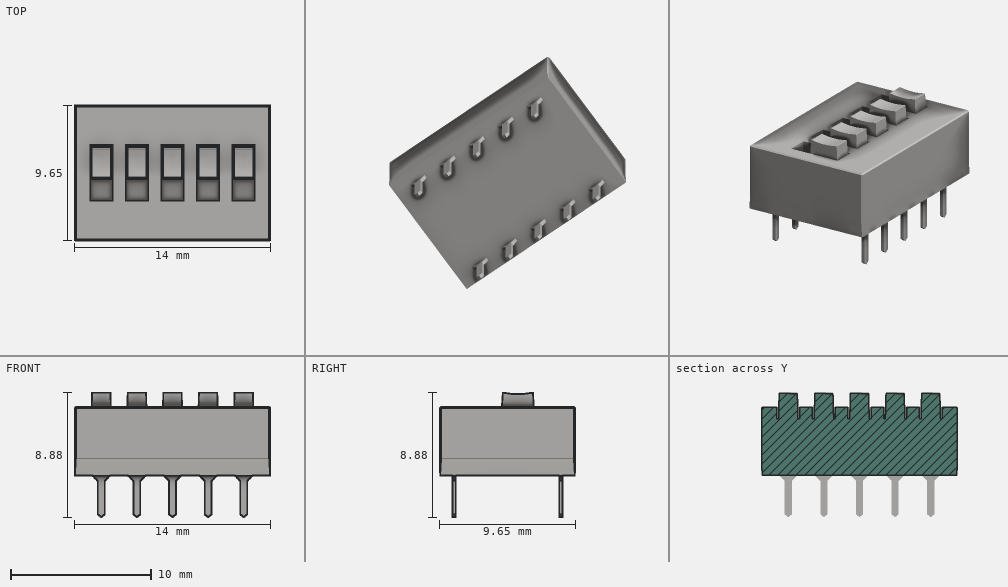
import cadquery as cq

length = 13.97
width = 9.65
total_height = 8.88
knob_rise = 1.0
pin_drop = 2.96
edge_chamfer = 0.1
rim_chamfer = 0.01
housing_height = total_height - knob_rise - pin_drop
base_height = 1.26
base_taper = 0.01

switch_count = 5
pitch = 2.54

slot_width = 1.6
slot_length = 4.0
slot_offset = 0.01
slot_depth = 0.84

knob_offset = 0.74
knob_foot_width = 1.42
knob_foot_length = 2.4
knob_top_width = 1.33
knob_top_length = 2.17
dish_length = 1.95
dish_depth = 0.1

row_spacing = 7.63
pin_thickness = 0.25
pin_width = 0.5
shoulder_width = 1.26
shoulder_height = (shoulder_width - pin_width) / 2
tip_height = 0.2

switch_positions = [(i - (switch_count - 1) / 2) * pitch for i in range(switch_count)]


def chamfered_rectangle(size_x, size_y, chamfer, z):
    """Closed rectangle at height z with its four corners cut at 45 degrees."""
    half_x = size_x / 2
    half_y = size_y / 2
    corners = []
    for sign_x, sign_y in ((1, 1), (-1, 1), (-1, -1), (1, -1)):
        on_x_face = (sign_x * half_x, sign_y * (half_y - chamfer), z)
        on_y_face = (sign_x * (half_x - chamfer), sign_y * half_y, z)
        corners += [on_x_face, on_y_face] if sign_x == sign_y else [on_y_face, on_x_face]
    return cq.Wire.makePolygon([cq.Vector(*corner) for corner in corners], close=True)


def make_housing():
    """Chamfered cover above a base band that narrows slightly downwards."""
    cover = (
        cq.Workplane("XY", origin=(0, 0, base_height))
        .rect(length, width)
        .extrude(housing_height - base_height)
        .edges("|Z or >Z")
        .chamfer(edge_chamfer)
    )
    rim = chamfered_rectangle(length - 2 * base_taper, width - 2 * base_taper, rim_chamfer, 0)
    seam = chamfered_rectangle(length, width, edge_chamfer, base_height)
    return cover.union(cq.Workplane(cq.Solid.makeLoft([rim, seam], True)))


def make_slot(x):
    """Rectangular pocket sunk into the housing top."""
    return (
        cq.Workplane("XY", origin=(x, slot_offset, housing_height - slot_depth))
        .rect(slot_width, slot_length)
        .extrude(slot_depth)
    )


def make_knob(x):
    """Tapered actuator standing on the slot floor, with a dished top."""
    height = slot_depth + knob_rise
    top = housing_height + knob_rise
    body = (
        cq.Workplane("XY", origin=(x, knob_offset, housing_height - slot_depth))
        .rect(knob_foot_width, knob_foot_length)
        .workplane(offset=height)
        .rect(knob_top_width, knob_top_length)
        .loft(ruled=True)
    )
    dish = (
        cq.Workplane("YZ", origin=(x, knob_offset, top))
        .moveTo(-dish_length / 2, 0)
        .threePointArc((0, -dish_depth), (dish_length / 2, 0))
        .close()
        .extrude(knob_foot_width / 2, both=True)
    )
    return body.cut(dish)


def make_pin(x, y):
    """Flat pin with a sloped shoulder under the housing and a pointed tip."""
    half = pin_width / 2
    half_shoulder = shoulder_width / 2
    return (
        cq.Workplane("XZ", origin=(x, y, 0))
        .polyline([
            (-half_shoulder, 0),
            (-half, -shoulder_height),
            (-half, tip_height - pin_drop),
            (0, -pin_drop),
            (half, tip_height - pin_drop),
            (half, -shoulder_height),
            (half_shoulder, 0),
        ])
        .close()
        .extrude(pin_thickness / 2, both=True)
    )


result = make_housing()
for x in switch_positions:
    result = result.cut(make_slot(x)).union(make_knob(x))
    for y in (-row_spacing / 2, row_spacing / 2):
        result = result.union(make_pin(x, y))